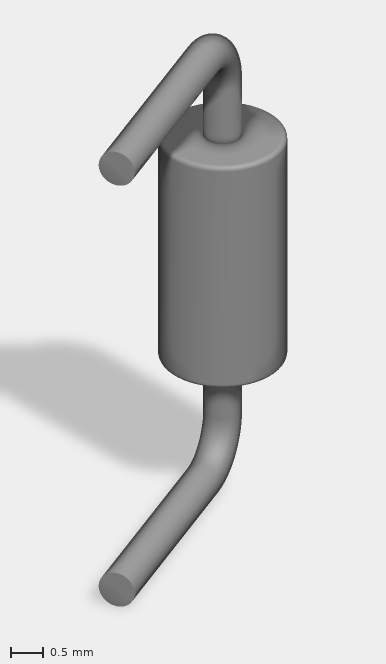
import cadquery as cq

body_diameter = 2.0
body_length = 4.0
edge_radius = 0.07
overall_height = 8.22
wire_diameter = 0.6
straight_exit = 1.0
overall_depth = 5.3

leg_reach = overall_depth - body_diameter / 2
leg_height = (overall_height - wire_diameter) / 2
bend_start = body_length / 2 + straight_exit
bend_radius = leg_height - bend_start


def make_body():
    """Upright cylinder with rounded rims, centred on the origin."""
    body = cq.Workplane("XY").cylinder(body_length, body_diameter / 2)
    return body.edges("%CIRCLE").fillet(edge_radius)


def make_upper_lead():
    """Round wire rising along the body axis, then bending toward -Y."""
    path = (
        cq.Workplane("YZ")
        .lineTo(0, bend_start)
        .tangentArcPoint((-bend_radius, leg_height), relative=False)
        .lineTo(-leg_reach, leg_height)
    )
    return cq.Workplane("XY").circle(wire_diameter / 2).sweep(path)


upper_lead = make_upper_lead()
lower_lead = upper_lead.mirror("XY")
result = make_body().union(upper_lead).union(lower_lead)